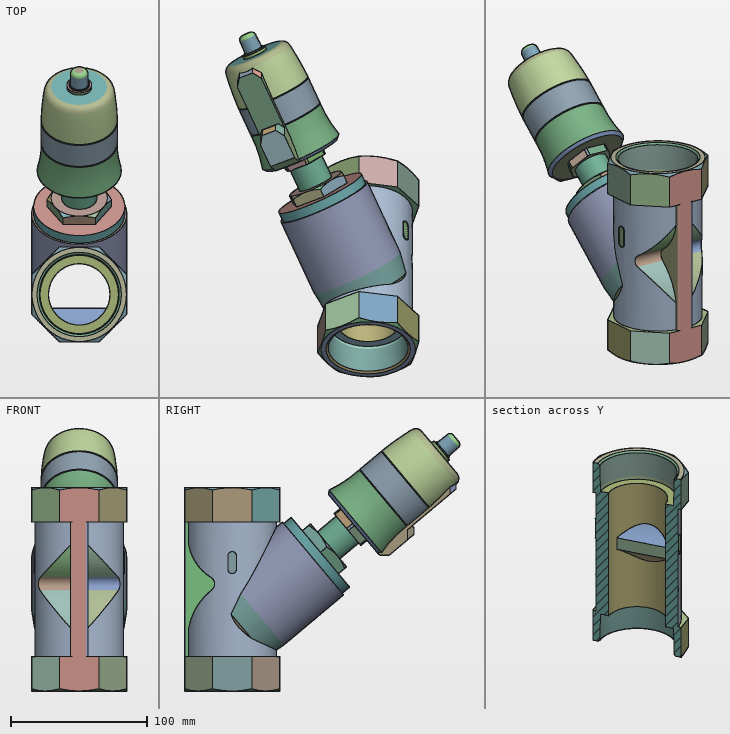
import cadquery as cq
import math


body_length = 149.9
body_diameter = 65.2
end_flats = 70.0
end_length = 25.5
end_chamfer_diameter = 69.3
chamfer_slope = math.tan(math.radians(30))

bore_diameter = 45.0
socket_mouth_diameter = 62.0
socket_diameter = 58.7
socket_floor_diameter = 57.5
socket_mouth_depth = 1.2
socket_taper_depth = 20.7
socket_depth = 23.0

upper_wall_center = (3.2, 39.3)
upper_wall_radius = 35.8
lower_wall_center = (13.8, -37.0)
lower_wall_radius = 46.5
valley_radius = 5.7
waist_wall = 2.8
ridge_y = -10.1

rib_width = 12.8
rib_corner_radius = 1.2

pad_length = 16.2
pad_width = 6.3
pad_height = 0.6
pad_z = 19.6

leg_elevation = math.radians(40)
leg_origin_z = -27.1

nose_start = 0.0
nose_end = 5.0
leg_taper_end = 20.3
leg_end = 77.5
bonnet_end = 84.7
bonnet_hex_end = 92.5
gland_hex_start = 110.5
actuator_start = 116.5
rim_height = 2.5
lower_seam = 145.8
upper_seam = 166.9
actuator_end = 198.9
collar_end = 201.1
collar_step_end = 202.1
pin_end = 214.9

leg_diameter = 70.0
leg_small_diameter = 66.8
nose_diameter = 61.5
bonnet_diameter = 67.0
bonnet_hex_flats = 41.3
stem_diameter = 26.0
gland_hex_flats = 30.8
gland_hex_diameter = 34.5

actuator_diameter = 56.3
actuator_base_diameter = 57.5
actuator_rim_diameter = 62.0
actuator_shoulder_diameter = 50.2
actuator_edge_radius = 5.5
flare_sag = 1.0
dome_bulge = 0.6
seam_width = 0.6
seam_depth = 0.5

collar_diameter = 18.2
collar_step_diameter = 15.0
pin_base_diameter = 13.4
pin_diameter = 12.5
pin_edge_radius = 3.0

lug_width = 21.0
lug_corner = 4.7
lug_lip = 3.6
bar_end = 191.0
bar_reach = 28.5
lug_start = 116.9
port_reach = 34.2
lug_bevel = 5.0


def cylinder(diameter, start, end):
    return cq.Workplane("XY").workplane(offset=start).circle(diameter / 2).extrude(end - start)


def chamfer_cone(small_diameter, height):
    """Cone narrowing upward to small_diameter at z = height, used to trim polygon corners."""
    small_radius = small_diameter / 2
    large_radius = small_radius + height / chamfer_slope
    return cq.Workplane("XY").add(cq.Solid.makeCone(large_radius, small_radius, height))


def bonnet_hex():
    """Hexagon with corners on the X axis and its far edge trimmed round."""
    height = bonnet_hex_end - bonnet_end
    corners = bonnet_hex_flats / math.cos(math.pi / 6)
    prism = cq.Workplane("XY").polygon(6, corners).extrude(height)
    trimmed = prism.intersect(chamfer_cone(bonnet_hex_flats, height))
    return trimmed.translate((0, 0, bonnet_end))


def gland_hex():
    """Hexagon with corners on the X axis, rounded off to a cylinder."""
    corners = gland_hex_flats / math.cos(math.pi / 6)
    height = actuator_start - gland_hex_start
    prism = cq.Workplane("XY").workplane(offset=gland_hex_start).polygon(6, corners).extrude(height)
    return prism.intersect(cylinder(gland_hex_diameter, gland_hex_start, actuator_start))


def octagon_end():
    """Upper octagonal end, with flats square to X and Y."""
    corners = end_flats / math.cos(math.pi / 8)
    prism = cq.Workplane("XY").polygon(8, corners).extrude(end_length)
    prism = prism.rotate((0, 0, 0), (0, 0, 1), 180 / 8)
    trimmed = prism.intersect(chamfer_cone(end_chamfer_diameter, end_length))
    return trimmed.translate((0, 0, body_length / 2 - end_length))


def wall_cylinder(center, radius):
    """Cylinder along X, as wide as the body."""
    disc = cq.Workplane("YZ").center(*center).circle(radius)
    return disc.extrude(body_diameter / 2, both=True)


def valley_center():
    """Centre (y, z) of the valley arc, which touches both wall circles from outside."""
    to_upper = upper_wall_radius + valley_radius
    to_lower = lower_wall_radius + valley_radius
    offset_y = upper_wall_center[0] - lower_wall_center[0]
    offset_z = upper_wall_center[1] - lower_wall_center[1]
    spacing = math.hypot(offset_y, offset_z)
    along = (to_lower**2 - to_upper**2 + spacing**2) / (2 * spacing)
    across = math.sqrt(to_lower**2 - along**2)
    return (
        lower_wall_center[0] + (along * offset_y - across * offset_z) / spacing,
        lower_wall_center[1] + (along * offset_z + across * offset_y) / spacing,
    )


def space_before_walls(back_upper, back, back_lower, wall):
    """Space in front of three back points (y, z) and of both walls, set inward by wall."""
    front = -end_flats
    outline = cq.Workplane("YZ").polyline([
        (front, back_upper[1]),
        back_upper,
        back,
        back_lower,
        (front, back_lower[1]),
    ]).close()
    block = outline.extrude(body_diameter / 2, both=True)
    block = block.cut(wall_cylinder(upper_wall_center, upper_wall_radius - wall))
    return block.cut(wall_cylinder(lower_wall_center, lower_wall_radius - wall))


def waist_void():
    """Space outside the waist, down to the rounded valley."""
    valley = valley_center()
    void = space_before_walls(upper_wall_center, valley, lower_wall_center, 0)
    return void.union(wall_cylinder(valley, valley_radius))


def waist_ridge():
    """Space the bore leaves out for the waist, where the inner wall faces form a ridge."""
    upper = (ridge_y, upper_wall_center[1])
    middle = (ridge_y, 0)
    lower = (ridge_y, lower_wall_center[1])
    return space_before_walls(upper, middle, lower, waist_wall)


def front_rib():
    """Web on the -Y side, from the end flats in to the waist ridge."""
    rib_depth = end_flats / 2 + ridge_y
    rib = cq.Workplane("XY").box(rib_width, rib_depth, body_length - end_length)
    rib = rib.faces("<Y").edges("|Z").fillet(rib_corner_radius)
    return rib.translate((0, (rib_depth - end_flats) / 2, 0))


def side_pads():
    reach = body_diameter / 2 + pad_height
    slot = cq.Workplane("YZ").center(0, pad_z).slot2D(pad_length, pad_width, 90)
    return slot.extrude(reach, both=True)


def flow_passage():
    """Through bore, narrowed by the inner face of the waist."""
    bore = cylinder(bore_diameter, -body_length / 2, body_length / 2)
    return bore.cut(waist_ridge())


def socket():
    """Tapered socket opening at the top end."""
    profile = cq.Workplane("XZ").polyline([
        (0, 0),
        (socket_mouth_diameter / 2, 0),
        (socket_diameter / 2, -socket_mouth_depth),
        (socket_floor_diameter / 2, -socket_taper_depth),
        (socket_floor_diameter / 2, -socket_depth),
        (0, -socket_depth),
    ]).close()
    return profile.revolve(360, (0, 0), (0, 1)).translate((0, 0, body_length / 2))


def leg():
    profile = cq.Workplane("XZ").polyline([
        (0, nose_start),
        (nose_diameter / 2, nose_start),
        (leg_small_diameter / 2, nose_end),
        (leg_diameter / 2, leg_taper_end),
        (leg_diameter / 2, leg_end),
        (bonnet_diameter / 2, leg_end),
        (bonnet_diameter / 2, bonnet_end),
        (0, bonnet_end),
    ]).close()
    return profile.revolve(360, (0, 0), (0, 1))


def bulged_middle(start, end, bulge):
    return ((start[0] + end[0]) / 2 + bulge, (start[1] + end[1]) / 2)


def actuator():
    rim = (actuator_rim_diameter / 2, actuator_start + rim_height)
    waist = (actuator_diameter / 2, lower_seam)
    upper = (actuator_diameter / 2, upper_seam)
    shoulder = (actuator_shoulder_diameter / 2, actuator_end)
    housing = (
        cq.Workplane("XZ")
        .moveTo(0, actuator_start)
        .lineTo(actuator_base_diameter / 2, actuator_start)
        .lineTo(*rim)
        .threePointArc(bulged_middle(rim, waist, -flare_sag), waist)
        .lineTo(*upper)
        .threePointArc(bulged_middle(upper, shoulder, dome_bulge), shoulder)
        .lineTo(0, actuator_end)
        .close()
        .revolve(360, (0, 0), (0, 1))
    )
    housing = housing.faces(">Z").edges().fillet(actuator_edge_radius)
    for seam in (lower_seam, upper_seam):
        ring = cylinder(actuator_rim_diameter, seam - seam_width / 2, seam + seam_width / 2)
        core = cylinder(actuator_diameter - 2 * seam_depth, seam - seam_width, seam + seam_width)
        housing = housing.cut(ring.cut(core))
    return housing


def indicator_pin():
    collar = cylinder(collar_diameter, actuator_end, collar_end)
    step = cylinder(collar_step_diameter, collar_end, collar_step_end)
    height = pin_end - collar_step_end
    pin = cq.Workplane("XY").add(cq.Solid.makeCone(pin_base_diameter / 2, pin_diameter / 2, height))
    pin = pin.faces(">Z").edges().fillet(pin_edge_radius)
    return collar.union(step).union(pin.translate((0, 0, collar_step_end)))


def lug(end, reach):
    """Block on the underside, reaching outward from the actuator axis.

    Once tilted, its upper end is vertical and its lower bevel is horizontal.
    """
    slope = math.tan(leg_elevation)
    lip_end = end + lug_lip * slope
    block = cq.Workplane("YZ").polyline([
        (0, lug_start),
        (reach - lug_bevel * slope, lug_start),
        (reach, lug_start + lug_bevel),
        (reach, end),
        (reach - lug_lip, lip_end),
        (0, lip_end),
    ]).close().extrude(lug_width / 2, both=True)
    upright = cq.Vector(0, -math.cos(leg_elevation), math.sin(leg_elevation))
    return block.edges(cq.selectors.ParallelDirSelector(upright)).chamfer(lug_corner)


def port_lugs():
    bar = lug(bar_end, bar_reach)
    return bar.union(lug(lower_seam, port_reach))


def leg_assembly():
    """Leg, bonnet and actuator, built along +Z and then tilted onto the leg axis."""
    assembly = (
        leg()
        .union(bonnet_hex())
        .union(cylinder(stem_diameter, bonnet_end, actuator_start))
        .union(gland_hex())
        .union(actuator())
        .union(indicator_pin())
        .union(port_lugs())
    )
    axis = (0, math.cos(leg_elevation), math.sin(leg_elevation))
    leg_plane = cq.Plane(origin=(0, 0, leg_origin_z), xDir=(1, 0, 0), normal=axis)
    return cq.Workplane("XY").add(assembly.val().located(cq.Location(leg_plane)))


def pipe_body():
    """Waisted tube with the leg assembly and both octagonal ends."""
    tube = cylinder(body_diameter, -body_length / 2, body_length / 2)
    waisted = tube.union(leg_assembly()).cut(waist_void())
    return waisted.union(octagon_end()).union(octagon_end().mirror("XY"))


result = (
    pipe_body()
    .union(front_rib())
    .union(side_pads())
    .cut(flow_passage())
    .cut(socket())
    .cut(socket().mirror("XY"))
)